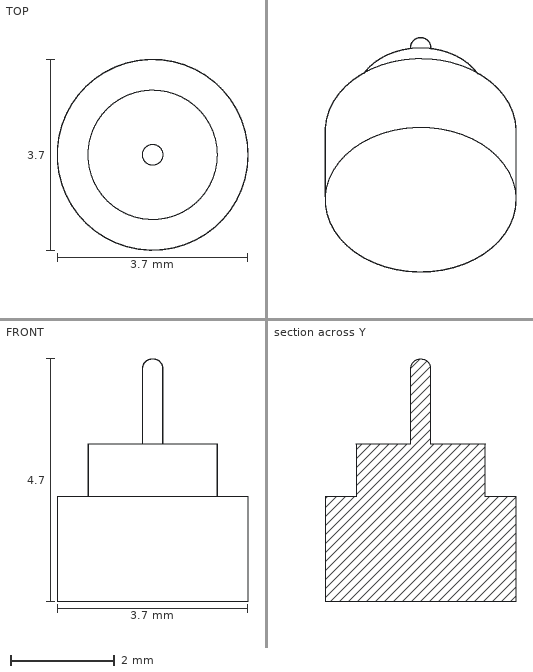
import cadquery as cq

total_height = 4.7
base_diameter = 3.7
base_height = 2.04
collar_diameter = 2.505
collar_height = 1.015
pin_diameter = 0.4
tip_rounding = 0.19

collar_top = base_height + collar_height
pin_height = total_height - collar_top


def cylinder(diameter, height, bottom):
    """Upright cylinder on the Z axis, starting at the given level."""
    return cq.Workplane("XY").workplane(offset=bottom).circle(diameter / 2).extrude(height)


base = cylinder(base_diameter, base_height, 0)
collar = cylinder(collar_diameter, collar_height, base_height)

pin = cylinder(pin_diameter, pin_height, collar_top).faces(">Z").edges().fillet(tip_rounding)

result = base.union(collar).union(pin)